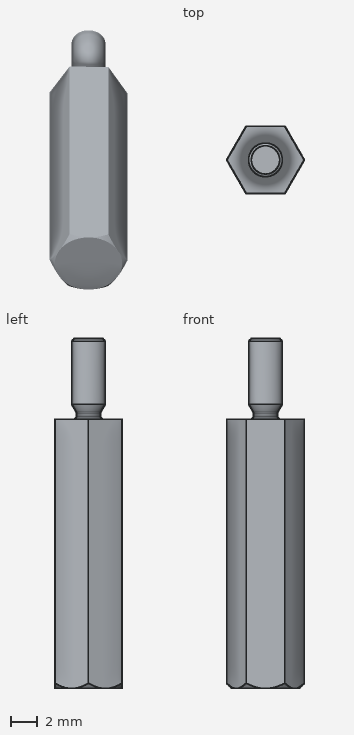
import cadquery as cq
import math

across_flats = 5.0
side_count = 6
across_corners = across_flats / math.cos(math.pi / side_count)
body_length = 20.0
foot_diameter = across_flats
foot_chamfer_angle = math.radians(45)

stud_diameter = 2.5
stud_length = 6.0
tip_diameter = 2.1
tip_chamfer_height = 0.2

neck_diameter = 1.81
undercut_length = 1.1
undercut_angle = math.radians(30)
undercut_radius = 0.2


def make_body():
    """Hexagonal bar with its lower corners turned off by a cone."""
    bar = cq.Workplane("XY").polygon(side_count, across_corners).extrude(body_length)
    corner_radius = across_corners / 2
    foot_radius = foot_diameter / 2
    chamfer_height = (corner_radius - foot_radius) * math.tan(foot_chamfer_angle)
    turned_envelope = (
        cq.Workplane("XZ")
        .lineTo(foot_radius, 0)
        .lineTo(corner_radius, chamfer_height)
        .lineTo(corner_radius, body_length)
        .lineTo(0, body_length)
        .close()
        .revolve(360, (0, 0, 0), (0, 1, 0))
    )
    return bar.intersect(turned_envelope)


def make_stud():
    """Turned stud: filleted neck, run-out cone, plain shank and chamfered tip."""
    neck_radius = neck_diameter / 2
    stud_radius = stud_diameter / 2
    stud_top = body_length + stud_length
    cone_top = body_length + undercut_length
    cone_bottom = cone_top - (stud_radius - neck_radius) / math.tan(undercut_angle)

    blend_reach = undercut_radius * math.tan(undercut_angle / 2)
    blend_start = (neck_radius, cone_bottom - blend_reach)
    blend_end = (
        neck_radius + blend_reach * math.sin(undercut_angle),
        cone_bottom + blend_reach * math.cos(undercut_angle),
    )
    arc_center_radius = neck_radius + undercut_radius
    blend_middle = (
        arc_center_radius - undercut_radius * math.cos(undercut_angle / 2),
        blend_start[1] + undercut_radius * math.sin(undercut_angle / 2),
    )
    root_middle_angle = math.radians(45)
    root_middle = (
        arc_center_radius - undercut_radius * math.cos(root_middle_angle),
        body_length + undercut_radius * (1 - math.sin(root_middle_angle)),
    )

    return (
        cq.Workplane("XZ")
        .moveTo(0, body_length)
        .lineTo(arc_center_radius, body_length)
        .threePointArc(root_middle, (neck_radius, body_length + undercut_radius))
        .lineTo(*blend_start)
        .threePointArc(blend_middle, blend_end)
        .lineTo(stud_radius, cone_top)
        .lineTo(stud_radius, stud_top - tip_chamfer_height)
        .lineTo(tip_diameter / 2, stud_top)
        .lineTo(0, stud_top)
        .close()
        .revolve(360, (0, 0, 0), (0, 1, 0))
    )


result = make_body().union(make_stud())